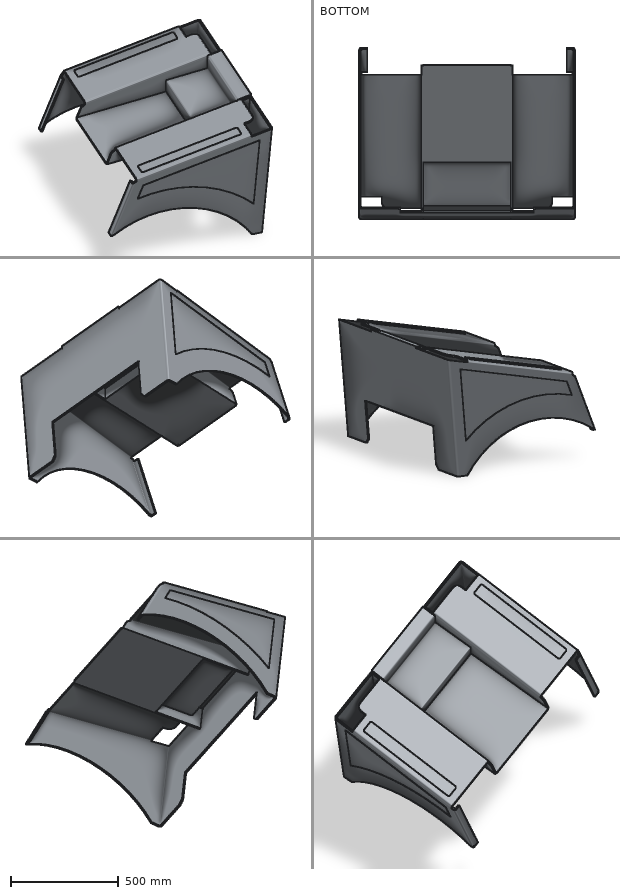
import cadquery as cq
import math

WIDTH = 1007.0
DEPTH = 802.0
SHEET = 8.0
BEND_INNER = 4.0
BEND_OUTER = BEND_INNER + SHEET
MARGIN = 201.0
HALF = WIDTH / 2

REAR_TILT = math.tan(math.radians(5.0))
DECK_TILT = math.tan(math.radians(12.2))
FRONT_TILT = math.tan(math.radians(22.0))
FLOOR_TILT = math.tan(math.radians(6.3))

REAR_FOOT_Y = -50.0
DECK_FRONT_Y = -676.0
DECK_FRONT_Z = 429.0
FLANGE_END_Z = 138.0
FLANGE_TOP_Z = 403.0
FLANGE_INNER_X = 464.0

ARCH_Y = -519.0
ARCH_RADIUS = 495.0
ARCH_TOP_Z = 225.0
ARCH_Z = ARCH_TOP_Z - ARCH_RADIUS

REAR_OPENING_HALF = 310.0
REAR_OPENING_Z = 208.0
REAR_OPENING_CHAMFER = 22.0

WELL_HALF = 205.0
BRIDGE_DROP = 3.0
STEP_1_Y = -72.0
STEP_2_Y = -276.0
FLOOR_FRONT_Y = -721.0
FLOOR_FRONT_Z = 353.0
STEP_HEIGHT = 62.0
LIP_RADIUS = 6.0

TONGUE_HALF = 398.0
TONGUE_REAR_Y = -52.0
TONGUE_RADIUS = 31.0
DECK_REAR_Y = -106.0

PANEL_DEPTH = 1.0
PAD_INNER_X = 408.0
PAD_OUTER_X = 469.0
PAD_REAR_Y = -144.0
PAD_FRONT_Y = -638.0
PAD_RADIUS = 8.0
SIDE_PANEL_REAR = 60.0
SIDE_PANEL_TOP = 47.0
SIDE_PANEL_FRONT = 53.0
SIDE_PANEL_ARCH = 114.0


def rear_y(z):
    return REAR_FOOT_Y + REAR_TILT * z


def deck_z(y):
    return DECK_FRONT_Z + DECK_TILT * (y - DECK_FRONT_Y)


def front_y(z):
    return -DEPTH + FRONT_TILT * (z - FLANGE_END_Z)


def floor_z(y):
    return FLOOR_FRONT_Z + FLOOR_TILT * (y - FLOOR_FRONT_Y)


def slant(tilt):
    """Length ratio between a shift along an axis and a normal offset."""
    return math.hypot(1, tilt)


def side_outline(rear, top, front, base_z):
    """Corner points (y, z) of the side outline, offset inward by the given amounts."""
    rear_0 = rear_y(0) - rear * slant(REAR_TILT)
    deck_0 = deck_z(0) - top * slant(DECK_TILT)
    front_0 = front_y(0) + front * slant(FRONT_TILT)
    rear_top_y = (rear_0 + REAR_TILT * deck_0) / (1 - REAR_TILT * DECK_TILT)
    front_top_y = (front_0 + FRONT_TILT * deck_0) / (1 - FRONT_TILT * DECK_TILT)
    return [
        (rear_0 + REAR_TILT * base_z, base_z),
        (rear_top_y, deck_0 + DECK_TILT * rear_top_y),
        (front_top_y, deck_0 + DECK_TILT * front_top_y),
        (front_0 + FRONT_TILT * base_z, base_z),
    ]


def prism(points, x_start, x_end):
    """Extrude a (y, z) outline along X."""
    return cq.Workplane("YZ", origin=(x_start, 0, 0)).polyline(points).close().extrude(x_end - x_start)


def layer(top_gap):
    """Space above a plane that lies top_gap (vertically) below the deck face."""
    y_rear, y_front = MARGIN, -DEPTH - MARGIN
    points = [
        (y_rear, deck_z(y_rear) - top_gap),
        (y_rear, deck_z(y_rear) + MARGIN),
        (y_front, deck_z(y_rear) + MARGIN),
        (y_front, deck_z(y_front) - top_gap),
    ]
    return prism(points, 0, HALF + MARGIN)


def arch(radius):
    """Cylinder about the wheel arch axis."""
    return cq.Workplane("YZ").center(ARCH_Y, ARCH_Z).circle(radius).extrude(HALF + MARGIN)


def bay_body(inset, base_z, bend_radius):
    """Solid bay, inset on all sides, with its outer side and well edge rounded."""
    outline = side_outline(inset, inset, inset, base_z)
    block = prism(outline, WELL_HALF + inset, HALF - inset)
    block = block.faces(">X").edges("not <Z").fillet(bend_radius)
    return block.faces("<X").edges(">Z").fillet(bend_radius)


def deck_cutback():
    """Gap between the deck and the rear sheet, leaving a rounded tongue."""
    plan = (
        cq.Workplane("XY")
        .moveTo(WELL_HALF, MARGIN)
        .lineTo(WELL_HALF, TONGUE_REAR_Y)
        .lineTo(TONGUE_HALF - TONGUE_RADIUS, TONGUE_REAR_Y)
        .radiusArc((TONGUE_HALF, TONGUE_REAR_Y - TONGUE_RADIUS), TONGUE_RADIUS)
        .lineTo(TONGUE_HALF, DECK_REAR_Y)
        .lineTo(HALF + MARGIN, DECK_REAR_Y)
        .lineTo(HALF + MARGIN, MARGIN)
        .close()
        .extrude(WIDTH)
    )
    return plan.intersect(layer(BEND_OUTER))


def front_relief():
    """Corner cut between the deck front edge and the top of the flange."""
    points = [
        (DECK_FRONT_Y, deck_z(0)),
        (DECK_FRONT_Y, DECK_FRONT_Z - BEND_OUTER),
        (front_y(FLANGE_TOP_Z), FLANGE_TOP_Z),
        (-DEPTH - MARGIN, FLANGE_TOP_Z),
        (-DEPTH - MARGIN, deck_z(0)),
    ]
    return prism(points, 0, HALF + MARGIN)


def front_opening():
    """Space between the flange and the well wall."""
    points = [
        (DECK_FRONT_Y, -MARGIN),
        (DECK_FRONT_Y, deck_z(0)),
        (-DEPTH - MARGIN, deck_z(0)),
        (-DEPTH - MARGIN, -MARGIN),
    ]
    return prism(points, WELL_HALF + SHEET, FLANGE_INNER_X)


def flange_cut(z_outer, z_far, x_end):
    """Everything from z_far to a cut square to the flange, at z_outer on its outer face."""
    y_inner, y_outer = DECK_FRONT_Y, -DEPTH - MARGIN
    points = [
        (y_inner, z_outer - FRONT_TILT * (y_inner - front_y(z_outer))),
        (y_outer, z_outer - FRONT_TILT * (y_outer - front_y(z_outer))),
        (y_outer, z_far),
        (y_inner, z_far),
    ]
    return prism(points, FLANGE_INNER_X, x_end)


def below_well():
    """Space under the well wall, level with the underside of the lower floor."""
    under_z = floor_z(0) - SHEET * slant(FLOOR_TILT)
    rear_0 = rear_y(0) - SHEET * slant(REAR_TILT)
    y_rear = (rear_0 + REAR_TILT * under_z) / (1 - REAR_TILT * FLOOR_TILT)
    y_front = -DEPTH - MARGIN
    points = [
        (rear_0 - REAR_TILT * MARGIN, -MARGIN),
        (y_front, -MARGIN),
        (y_front, under_z + FLOOR_TILT * y_front),
        (y_rear, under_z + FLOOR_TILT * y_rear),
    ]
    return prism(points, WELL_HALF, WELL_HALF + SHEET)


def deck_pad():
    """Rounded rectangular recess in the deck."""
    length = PAD_REAR_Y - PAD_FRONT_Y
    width = PAD_OUTER_X - PAD_INNER_X
    pad = (
        cq.Workplane("XY")
        .center((PAD_INNER_X + PAD_OUTER_X) / 2, (PAD_REAR_Y + PAD_FRONT_Y) / 2)
        .rect(width, length)
        .extrude(WIDTH)
        .edges("|Z")
        .fillet(PAD_RADIUS)
    )
    return pad.intersect(layer(PANEL_DEPTH))


def side_panel():
    """Recess in the side wall that follows its outline and the arch."""
    outline = side_outline(SIDE_PANEL_REAR, SIDE_PANEL_TOP, SIDE_PANEL_FRONT, 0)
    panel = prism(outline, HALF - PANEL_DEPTH, HALF + MARGIN)
    return panel.cut(arch(ARCH_RADIUS + SIDE_PANEL_ARCH))


def wheel_arch():
    """Arch through the side wall and its bends, clear of the front flange."""
    return arch(ARCH_RADIUS).cut(
        cq.Workplane("YZ").rect(4 * DEPTH, 4 * DEPTH).extrude(HALF - BEND_OUTER)
    )


bay = bay_body(0, 0, BEND_OUTER)
bay = bay.cut(bay_body(SHEET, -MARGIN, BEND_INNER))
for cutter in (
    wheel_arch(),
    deck_cutback(),
    front_relief(),
    front_opening(),
    flange_cut(FLANGE_TOP_Z, deck_z(0), HALF - BEND_OUTER),
    flange_cut(FLANGE_END_Z, -MARGIN, HALF + MARGIN),
    below_well(),
    deck_pad(),
    side_panel(),
):
    bay = bay.cut(cutter)


def round_bend(body, corner, radius):
    """Fillet the edge along X that passes through the (y, z) corner."""
    picked = cq.selectors.NearestToPointSelector((0, corner[0], corner[1]))
    return body.edges("|X").edges(picked).fillet(radius)


def centre_strip():
    """Single folded sheet that spans the well."""
    outer_rear = side_outline(0, BRIDGE_DROP, 0, 0)
    inner_rear = side_outline(SHEET, BRIDGE_DROP + SHEET, SHEET, 0)
    bridge_drop = BRIDGE_DROP * slant(DECK_TILT)
    bridge_under = (BRIDGE_DROP + SHEET) * slant(DECK_TILT)
    floor_under = SHEET * slant(FLOOR_TILT)
    back_1, back_2 = STEP_1_Y + SHEET, STEP_2_Y + SHEET
    points = [
        outer_rear[0],
        outer_rear[1],
        (STEP_1_Y, deck_z(STEP_1_Y) - bridge_drop),
        (STEP_1_Y, floor_z(STEP_1_Y) + STEP_HEIGHT),
        (STEP_2_Y, floor_z(STEP_2_Y) + STEP_HEIGHT),
        (STEP_2_Y, floor_z(STEP_2_Y)),
        (FLOOR_FRONT_Y, FLOOR_FRONT_Z),
        (FLOOR_FRONT_Y, FLOOR_FRONT_Z - floor_under),
        (back_2, floor_z(back_2) - floor_under),
        (back_2, floor_z(back_2) + STEP_HEIGHT - floor_under),
        (back_1, floor_z(back_1) + STEP_HEIGHT - floor_under),
        (back_1, deck_z(back_1) - bridge_under),
        inner_rear[1],
        inner_rear[0],
    ]
    strip = prism(points, -WELL_HALF, WELL_HALF)

    bridge_edge, upper_floor_rear, lip = points[2], points[3], points[4]
    under_floor, under_bridge = points[10], points[11]
    for corner, radius in (
        (bridge_edge, BEND_OUTER),
        (under_bridge, BEND_INNER),
        (upper_floor_rear, BEND_INNER),
        (under_floor, BEND_OUTER),
        (lip, LIP_RADIUS),
    ):
        strip = round_bend(strip, corner, radius)
    return strip


def rear_opening():
    """Cut-out in the rear sheet with chamfered lower corners."""
    foot_half = REAR_OPENING_HALF + REAR_OPENING_CHAMFER
    return (
        cq.Workplane("XZ", origin=(0, MARGIN, 0))
        .moveTo(-foot_half, -MARGIN)
        .lineTo(-foot_half, 0)
        .lineTo(-REAR_OPENING_HALF, REAR_OPENING_CHAMFER)
        .lineTo(-REAR_OPENING_HALF, REAR_OPENING_Z)
        .lineTo(REAR_OPENING_HALF, REAR_OPENING_Z)
        .lineTo(REAR_OPENING_HALF, REAR_OPENING_CHAMFER)
        .lineTo(foot_half, 0)
        .lineTo(foot_half, -MARGIN)
        .close()
        .extrude(2 * MARGIN)
    )


result = centre_strip().union(bay).union(bay.mirror("YZ")).cut(rear_opening()).clean()